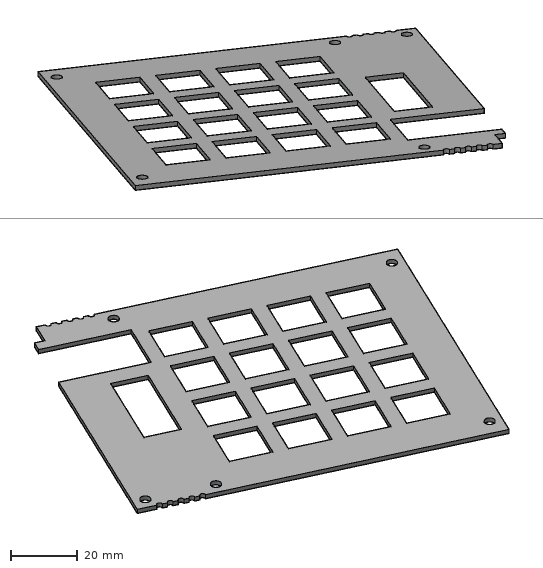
import cadquery as cq

width = 98.5
length = 119.8
thickness = 1.5

half_width = width / 2
half_length = length / 2

keys_per_side = 4
key_size = 14.0
key_pitch = 19.0
key_grid_y = -10.3

window_width = 29.4
window_height = 12.1
window_x = -0.5
window_y = 39.3

slot_left = 20.2
slot_right = 38.0
slot_depth = 29.8

step_left = 41.7
step_depth = 3.4

screw_diameter = 3.4
screw_inset = 4.1
front_screw_side_inset = 6.0
middle_screw_y = 33.1

bite_diameter = 1.8
bite_count = 5
bite_pitch = 3.5
bite_row_y = 45.8


def through_box(x_min, x_max, y_min, y_max):
    """Rectangular cutter spanning the full plate thickness."""
    return (
        cq.Workplane("XY")
        .box(x_max - x_min, y_max - y_min, thickness, centered=False)
        .translate((x_min, y_min, 0))
    )


def cut_circles(plate, points, diameter):
    """Cut a round opening through the plate at each point."""
    cutters = cq.Workplane("XY").pushPoints(points).circle(diameter / 2).extrude(thickness)
    return plate.cut(cutters)


plate = cq.Workplane("XY").box(width, length, thickness, centered=(True, True, False))

plate = plate.cut(through_box(slot_left, slot_right, half_length - slot_depth, half_length))
plate = plate.cut(through_box(step_left, half_width, half_length - step_depth, half_length))

window = cq.Workplane("XY").center(window_x, window_y).rect(window_width, window_height).extrude(thickness)
plate = plate.cut(window)

keys = (
    cq.Workplane("XY")
    .center(0, key_grid_y)
    .rarray(key_pitch, key_pitch, keys_per_side, keys_per_side)
    .rect(key_size, key_size)
    .extrude(thickness)
)
plate = plate.cut(keys)

screw_x = half_width - screw_inset
front_screw_x = half_width - front_screw_side_inset
screw_y = half_length - screw_inset
screw_points = [
    (-screw_x, screw_y),
    (-screw_x, middle_screw_y),
    (screw_x, middle_screw_y),
    (-front_screw_x, -screw_y),
    (front_screw_x, -screw_y),
]
plate = cut_circles(plate, screw_points, screw_diameter)

first_bite_y = bite_row_y - bite_pitch * (bite_count - 1) / 2
bite_points = [
    (edge_x, first_bite_y + i * bite_pitch)
    for edge_x in (-half_width, half_width)
    for i in range(bite_count)
]
plate = cut_circles(plate, bite_points, bite_diameter)

result = plate